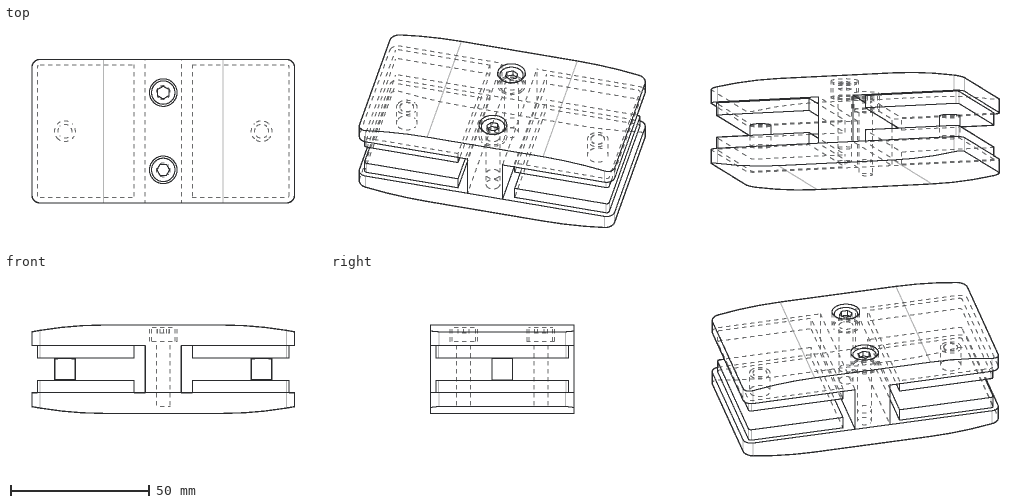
import cadquery as cq
import math

length = 95.0
width = 52.0
height = 32.0
plate_thickness = 7.5
edge_thickness = 5.0
flat_half_length = 21.6
plate_corner_radius = 3.0
stem_length = 13.0

pad_thickness = 4.5
pad_inset = 2.0
pad_length = 35.0
pad_corner_radius = 0.95
peg_diameter = 7.5
peg_x = 35.5
peg_end_gap = 0.2
peg_neck_diameter = 5.0

screw_y = 14.0
bore_diameter = 10.0
head_diameter = 8.5
head_height = 5.0
head_recess = 0.95
shank_diameter = 5.0
hex_flats = 4.0
hex_depth = 2.0
hex_angles = {-screw_y: 0.0, screw_y: 30.0}
screw_end_z = 2.5

half_length = length / 2
upper_plate_z = height - plate_thickness
lower_pad_top = plate_thickness + pad_thickness
upper_pad_z = upper_plate_z - pad_thickness
pad_width = width - 2 * pad_inset
pad_x = half_length - pad_inset - pad_length / 2
head_top = height - head_recess
head_seat = head_top - head_height


def make_plate():
    """Plate with its inner face at z = 0 and its outer face, curved towards both ends, on top."""
    curve_run = half_length - flat_half_length
    drop = plate_thickness - edge_thickness
    curve_radius = (curve_run**2 + drop**2) / (2 * drop)
    half_angle = math.asin(curve_run / curve_radius) / 2
    mid_x = flat_half_length + curve_radius * math.sin(half_angle)
    mid_z = plate_thickness - curve_radius * (1 - math.cos(half_angle))
    return (
        cq.Workplane("XZ")
        .moveTo(-half_length, 0)
        .lineTo(half_length, 0)
        .lineTo(half_length, edge_thickness)
        .threePointArc((mid_x, mid_z), (flat_half_length, plate_thickness))
        .lineTo(-flat_half_length, plate_thickness)
        .threePointArc((-mid_x, mid_z), (-half_length, edge_thickness))
        .close()
        .extrude(width / 2, both=True)
        .intersect(
            cq.Workplane("XY")
            .box(length, width, plate_thickness, centered=(True, True, False))
            .edges("|Z")
            .fillet(plate_corner_radius)
        )
    )


def make_cylinder(x, y, diameter, bottom, top):
    """Upright cylinder centred on (x, y) between two levels."""
    return cq.Workplane("XY", origin=(x, y, bottom)).circle(diameter / 2).extrude(top - bottom)


def make_upper_plate():
    """Upper plate with the stem below it and the counterbored screw holes."""
    stem = (
        cq.Workplane("XY", origin=(0, 0, plate_thickness))
        .rect(stem_length, width)
        .extrude(upper_plate_z - plate_thickness)
    )
    plate = make_plate().translate((0, 0, upper_plate_z)).union(stem)
    for y in hex_angles:
        plate = plate.cut(make_cylinder(0, y, shank_diameter, plate_thickness, head_seat))
        plate = plate.cut(make_cylinder(0, y, bore_diameter, head_seat, height))
    return plate


def make_lower_plate():
    """The same plate turned over, with blind holes for the screw ends."""
    plate = make_plate().rotate((0, 0, 0), (1, 0, 0), 180).translate((0, 0, plate_thickness))
    for y in hex_angles:
        plate = plate.cut(make_cylinder(0, y, shank_diameter, screw_end_z, plate_thickness))
    return plate


def make_pad(side, bottom):
    """Plain pad on the -X (side = -1) or +X (side = 1) half."""
    return (
        cq.Workplane("XY", origin=(side * pad_x, 0, bottom))
        .rect(pad_length, pad_width)
        .extrude(pad_thickness)
        .edges("|Z")
        .edges(">X" if side > 0 else "<X")
        .fillet(pad_corner_radius)
    )


def make_upper_pad(side):
    """Pad with a necked peg that reaches down almost to the lower pad."""
    peg_bottom = lower_pad_top + peg_end_gap
    peg_top = upper_pad_z - peg_end_gap
    peg = make_cylinder(side * peg_x, 0, peg_diameter, peg_bottom, peg_top)
    neck = make_cylinder(side * peg_x, 0, peg_neck_diameter, peg_top, upper_pad_z)
    return make_pad(side, upper_pad_z).union(neck).union(peg)


def make_screw(y, hex_angle):
    """Socket head screw."""
    shank = make_cylinder(0, y, shank_diameter, screw_end_z, head_seat)
    head = make_cylinder(0, y, head_diameter, head_seat, head_top)
    hex_corners = hex_flats / math.cos(math.pi / 6)
    socket = (
        cq.Workplane("XY", origin=(0, y, head_top))
        .transformed(rotate=(0, 0, hex_angle))
        .polygon(6, hex_corners)
        .extrude(-hex_depth)
    )
    return shank.union(head).cut(socket)


upper_plate = make_upper_plate()
lower_plate = make_lower_plate()
lower_pads = [make_pad(side, plate_thickness) for side in (-1, 1)]
upper_pads = [make_upper_pad(side) for side in (-1, 1)]
screws = [make_screw(y, angle) for y, angle in hex_angles.items()]

bodies = [upper_plate, lower_plate, *lower_pads, *upper_pads, *screws]
result = cq.Compound.makeCompound([body.val() for body in bodies])